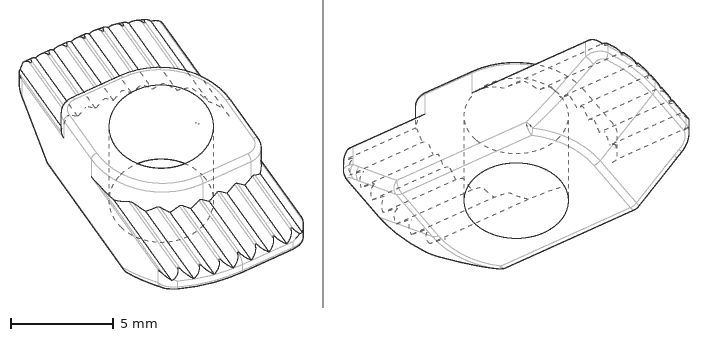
import cadquery as cq
import math

length = 16.0
width = 7.7
total_height = 6.0
plate_height = 4.5

flank_height = 3.31
corner_radius = 1.0
edge_radius = 0.5

serration_span = 7.0
crest_count = 7
groove_pitch = serration_span / crest_count
crest_radius = 0.1
side_edge_radius = 0.04

collar_large_radius = 4.0
collar_small_radius = 1.0
collar_top_radius = 0.3
bore_diameter = 5.1

half_length = length / 2
half_width = width / 2
slope = math.radians(45)
crest_loss = crest_radius * (1 / math.cos(slope) - 1)
groove_floor = plate_height + crest_loss - groove_pitch / 2


def flank_section():
    """Half of the plate section in XZ, square at its top outer edge."""
    return (
        cq.Workplane("XZ")
        .lineTo(half_length - flank_height, 0)
        .lineTo(half_length, flank_height)
        .lineTo(half_length, plate_height)
        .lineTo(0, plate_height)
        .close()
    )


def rounded_top_section():
    """Half of an upright block section in XZ with its top outer edge rounded."""
    return (
        cq.Workplane("XZ")
        .lineTo(half_length, 0)
        .lineTo(half_length, plate_height - edge_radius)
        .radiusArc((half_length - edge_radius, plate_height), -edge_radius)
        .lineTo(0, plate_height)
        .close()
    )


def twin_ended(section):
    """Sweep a half section into a block whose ends are half straight, half turned about Z."""
    straight_quadrant = section.extrude(-half_width)
    turned_quadrant = section.toPending().revolve(90, (0, 0, 0), (0, -1, 0))
    right_half = straight_quadrant.union(turned_quadrant)
    left_half = right_half.rotate((0, 0, 0), (0, 0, 1), 180)
    strip = cq.Workplane("XY").box(length, width, plate_height, centered=(True, True, False))
    return right_half.union(left_half).intersect(strip)


def serrated_section():
    """Plate section in YZ, traced from the +Y side over the crests to the -Y side."""
    outer_groove = serration_span / 2
    sharp_edge_height = groove_floor + (half_width - outer_groove) * math.tan(slope)
    side_height = sharp_edge_height - side_edge_radius / math.tan(slope / 2)
    side_edge_inset = side_edge_radius * (1 + math.sin(slope))
    side_edge_top = side_height + side_edge_radius * math.cos(slope)
    crest_half_width = crest_radius * math.sin(slope)
    crest_foot = plate_height - crest_radius * (1 - math.cos(slope))

    outline = (
        cq.Workplane("YZ", origin=(-half_length, 0, 0))
        .moveTo(-half_width, 0)
        .lineTo(half_width, 0)
        .lineTo(half_width, side_height)
        .radiusArc((half_width - side_edge_inset, side_edge_top), -side_edge_radius)
        .lineTo(outer_groove, groove_floor)
    )
    for index in range(crest_count):
        groove = outer_groove - (index + 1) * groove_pitch
        crest = groove + groove_pitch / 2
        outline = (
            outline.lineTo(crest + crest_half_width, crest_foot)
            .radiusArc((crest - crest_half_width, crest_foot), -crest_radius)
            .lineTo(groove, groove_floor)
        )
    return (
        outline.lineTo(side_edge_inset - half_width, side_edge_top)
        .radiusArc((-half_width, side_height), -side_edge_radius)
        .close()
    )


def is_off_seam(edge):
    """False for the smooth seams on y = 0 between straight and turned faces."""
    tolerance = 0.002
    return abs(edge.Center().y) > tolerance


def make_plate():
    plate = twin_ended(flank_section())
    plate = plate.edges("|Z").filter(is_off_seam).fillet(corner_radius)
    lower_edges = plate.edges("not |Z").edges("not >Z").filter(is_off_seam)
    plate = lower_edges.fillet(edge_radius)
    plate = plate.intersect(twin_ended(rounded_top_section()))
    return plate.intersect(serrated_section().extrude(length))


def is_large_corner(edge):
    """True for the collar corners at (-X, +Y) and (+X, -Y)."""
    return edge.Center().x * edge.Center().y < 0


def make_collar():
    """Square collar with two large and two small corners, rooted inside the plate."""
    root = flank_height
    collar = (
        cq.Workplane("XY", origin=(0, 0, root))
        .rect(width, width)
        .extrude(total_height - root)
    )
    upright_edges = collar.edges("|Z").vals()
    large_corners = [edge for edge in upright_edges if is_large_corner(edge)]
    small_corners = [edge for edge in upright_edges if not is_large_corner(edge)]
    block = collar.val().fillet(collar_large_radius, large_corners)
    block = block.fillet(collar_small_radius, small_corners)
    return cq.Workplane(block).faces(">Z").edges().fillet(collar_top_radius)


bore = cq.Workplane("XY").circle(bore_diameter / 2).extrude(total_height)
result = make_plate().union(make_collar()).cut(bore)